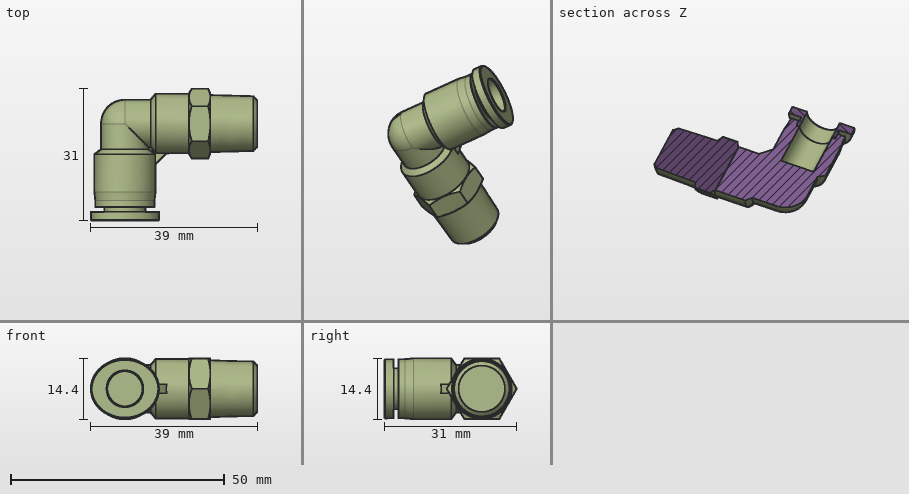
import cadquery as cq
import math


elbow_radius = 5.6
shoulder_start = 6.0
shoulder_end = 7.17
barrel_radius = 14.0 / 2
barrel_end = 14.95
collar_radius = 14.4 / 2
collar_end = 16.0
collar_taper_end = 17.97
collar_rim_radius = 13.9 / 2
collar_rim_end = 19.57
collar_rim_chamfer = 0.1
bore_floor = shoulder_end
gusset_thickness = 2.03
gusset_reach = 11.07

sleeve_radius = 9.7 / 2
bore_radius = 8.2 / 2
bore_chamfer = 0.25
flange_start = 20.63
flange_end = 22.77
flange_width = 16.0
flange_height = 13.9
flange_chamfer = 0.25
sleeve_length = 4.68
socket_floor = flange_end - sleeve_length

hex_flats = 14.2
hex_corners = hex_flats / math.cos(math.pi / 6)
hex_end = 20.0
hex_back_chamfer = 0.7
hex_front_chamfer = 0.55
hex_face_radius = hex_flats / 2 - 0.08
thread_start_radius = 6.7
thread_end_radius = 6.45
stud_end = 31.0
stud_chamfer = 1.0


def turned_x(profile):
    """Solid of revolution about X from (x, radius) points; the ends are closed to the axis."""
    points = [(profile[0][0], 0), *profile, (profile[-1][0], 0)]
    return cq.Workplane("XY").polyline(points).close().revolve(360, (0, 0, 0), (1, 0, 0))


def turned_y(profile):
    """Solid of revolution along -Y from (distance, radius) points."""
    return turned_x(profile).rotate((0, 0, 0), (0, 0, 1), -90)


def make_housing():
    corner = cq.Workplane("XY").sphere(elbow_radius)
    stud_arm = turned_x([
        (0, elbow_radius),
        (shoulder_start, elbow_radius),
        (shoulder_end, barrel_radius),
        (barrel_end, barrel_radius),
    ])
    tube_arm = turned_y([
        (0, elbow_radius),
        (shoulder_start, elbow_radius),
        (shoulder_end, collar_radius),
        (collar_end, collar_radius),
        (collar_taper_end, collar_rim_radius),
        (collar_rim_end - collar_rim_chamfer, collar_rim_radius),
        (collar_rim_end, collar_rim_radius - collar_rim_chamfer),
    ])
    gusset = (
        cq.Workplane("XY")
        .polyline([
            (elbow_radius, -elbow_radius),
            (elbow_radius, -gusset_reach),
            (gusset_reach, -elbow_radius),
        ])
        .close()
        .extrude(gusset_thickness / 2, both=True)
    )
    socket = turned_y([(socket_floor, sleeve_radius), (collar_rim_end, sleeve_radius)])
    bore = turned_y([(bore_floor, bore_radius), (socket_floor, bore_radius)])
    return corner.union(stud_arm).union(tube_arm).union(gusset).cut(socket).cut(bore)


def make_sleeve():
    tube = turned_y([(socket_floor, sleeve_radius), (flange_start, sleeve_radius)])
    flange = (
        cq.Workplane("XZ", origin=(0, -flange_start, 0))
        .ellipse(flange_width / 2, flange_height / 2)
        .extrude(flange_end - flange_start)
        .faces("<Y")
        .chamfer(flange_chamfer)
    )
    bore = turned_y([
        (socket_floor, bore_radius),
        (flange_end - bore_chamfer, bore_radius),
        (flange_end, bore_radius + bore_chamfer),
    ])
    return tube.union(flange).cut(bore)


def make_stud():
    hexagon = (
        cq.Workplane("YZ", origin=(barrel_end, 0, 0))
        .polygon(6, hex_corners)
        .extrude(hex_end - barrel_end)
    )
    hex_envelope = turned_x([
        (barrel_end, hex_face_radius),
        (barrel_end + hex_back_chamfer, hex_corners / 2),
        (hex_end - hex_front_chamfer, hex_corners / 2),
        (hex_end, hex_face_radius),
    ])
    thread = turned_x([
        (hex_end, thread_start_radius),
        (stud_end - stud_chamfer, thread_end_radius),
        (stud_end, thread_end_radius - stud_chamfer),
    ])
    return hexagon.intersect(hex_envelope).union(thread)


housing = make_housing()
sleeve = make_sleeve()
stud = make_stud()

result = cq.Compound.makeCompound([housing.val(), sleeve.val(), stud.val()])